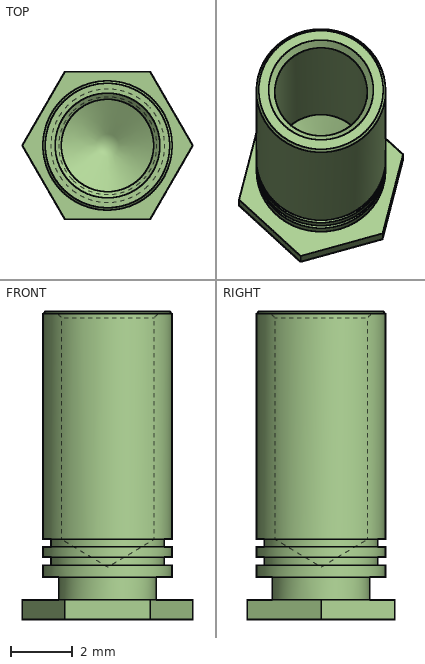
import cadquery as cq
import math

total_height = 10.0
hex_across_flats = 4.8
hex_height = 0.64

body_diameter = 4.2
groove_diameter = 3.69
neck_diameter = 3.18

neck_top = 1.38
lower_groove_bottom = 1.77
lower_groove_top = 2.03
upper_groove_bottom = 2.36
upper_groove_top = 2.61

bore_diameter = 3.0
bore_mouth_diameter = 3.4
drill_point_angle = 118.0
bore_shoulder = upper_groove_top
rim_chamfer = 0.08


def hex_head():
    """Hexagonal plate with two corners on the X axis."""
    across_corners = hex_across_flats / math.cos(math.pi / 6)
    return cq.Workplane("XY").polygon(6, across_corners).extrude(hex_height)


def cylinder(diameter, bottom, top):
    """Solid cylinder on the Z axis between two heights."""
    return cq.Workplane("XY").workplane(offset=bottom).circle(diameter / 2).extrude(top - bottom)


def turned_barrel():
    """Neck, two retaining rings, the grooves above them and the chamfered body."""
    body = cylinder(body_diameter, upper_groove_top, total_height).faces(">Z").edges().chamfer(rim_chamfer)
    sections = [
        (neck_diameter, hex_height, neck_top),
        (body_diameter, neck_top, lower_groove_bottom),
        (groove_diameter, lower_groove_bottom, lower_groove_top),
        (body_diameter, lower_groove_top, upper_groove_bottom),
        (groove_diameter, upper_groove_bottom, upper_groove_top),
    ]
    for diameter, bottom, top in sections:
        body = body.union(cylinder(diameter, bottom, top))
    return body


def blind_bore():
    """Bore with a 45 degree lead-in at the mouth and a conical bottom."""
    bore_radius = bore_diameter / 2
    mouth_radius = bore_mouth_diameter / 2
    lead_in_depth = mouth_radius - bore_radius
    point_depth = bore_radius / math.tan(math.radians(drill_point_angle / 2))
    return (
        cq.Workplane("XZ")
        .moveTo(0, bore_shoulder - point_depth)
        .lineTo(bore_radius, bore_shoulder)
        .lineTo(bore_radius, total_height - lead_in_depth)
        .lineTo(mouth_radius, total_height)
        .lineTo(0, total_height)
        .close()
        .revolve(360, (0, 0, 0), (0, 1, 0))
    )


result = hex_head().union(turned_barrel()).cut(blind_bore())